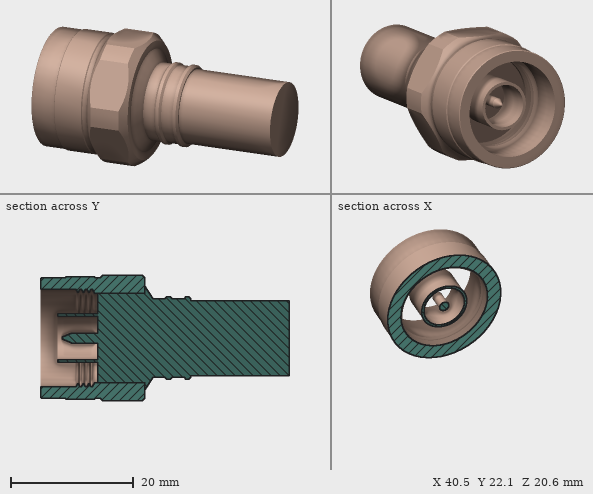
import cadquery as cq
import math

total_length = 40.55

sleeve_radius = 9.85
front_edge_chamfer = 0.12
band_radius = 10.0
band_start = 4.0
band_end = 8.95
band_chamfer = band_radius - sleeve_radius
hex_start = 9.75
hex_sides = 6
nut_end = 17.0
hex_across_flats = 20.55
hex_corner_radius = 11.03
hex_chamfer = hex_corner_radius - sleeve_radius

bore_radius = 7.95
thread_crest_radius = 7.3
thread_start = 5.7
thread_pitch = 0.9
thread_flank_width = 0.35
thread_count = 4
thread_end = thread_start + thread_count * thread_pitch

contact_sleeve_front = 2.75
contact_sleeve_radius = 4.0
contact_bore_radius = 3.53
shoulder_radius = 8.5
shoulder_end = 18.33
barrel_radius = 6.45
rib_radius = 6.77
rib_crest_width = 0.53
rib_flank_width = 0.35
front_rib_start = 20.25
rear_rib_start = 23.48
rear_rib_lead_width = 0.12
tail_radius = 6.15

pin_front = 3.45
pin_radius = 0.85
pin_tip_radius = 0.15
pin_cone_length = 1.62


def turn(profile):
    """Revolve a closed XZ profile, with Z as the radius, once around the X axis."""
    return profile.close().revolve(360, (0, 0, 0), (1, 0, 0))


def cylinder(start, end, radius):
    return cq.Workplane("YZ", origin=(start, 0, 0)).circle(radius).extrude(end - start)


def make_sleeve():
    return turn(
        cq.Workplane("XZ")
        .moveTo(0, 0)
        .lineTo(0, sleeve_radius - front_edge_chamfer)
        .lineTo(front_edge_chamfer, sleeve_radius)
        .lineTo(band_start, sleeve_radius)
        .lineTo(band_start + band_chamfer, band_radius)
        .lineTo(band_end - band_chamfer, band_radius)
        .lineTo(band_end, sleeve_radius)
        .lineTo(hex_start, sleeve_radius)
        .lineTo(hex_start, 0)
    )


def make_hexagon():
    """Hexagon with flats facing +Z and -Z, rounded at its corners and chamfered at both ends."""
    hex_length = nut_end - hex_start
    prism = (
        cq.Workplane("YZ", origin=(hex_start, 0, 0))
        .polygon(hex_sides, hex_across_flats / math.cos(math.pi / hex_sides))
        .extrude(hex_length)
    )
    turned_blank = cylinder(hex_start, nut_end, hex_corner_radius).edges().chamfer(hex_chamfer)
    return prism.intersect(turned_blank)


def make_threaded_bore():
    profile = cq.Workplane("XZ").moveTo(0, 0).lineTo(0, bore_radius).lineTo(thread_start, bore_radius)
    for ring in range(thread_count):
        root = thread_start + ring * thread_pitch
        profile = profile.lineTo(root + thread_flank_width, thread_crest_radius)
        if ring < thread_count - 1:
            profile = profile.lineTo(root + 2 * thread_flank_width, bore_radius)
            profile = profile.lineTo(root + thread_pitch, bore_radius)
    return turn(profile.lineTo(nut_end, thread_crest_radius).lineTo(nut_end, 0))


def make_coupling_nut():
    return make_sleeve().union(make_hexagon()).cut(make_threaded_bore())


def make_body_blank():
    """Body outline from the face behind the thread to the rear end."""
    front_crest = front_rib_start + rib_flank_width
    front_crest_end = front_crest + rib_crest_width
    rear_crest = rear_rib_start + rear_rib_lead_width
    rear_crest_end = rear_crest + rib_crest_width
    return turn(
        cq.Workplane("XZ")
        .moveTo(thread_end, 0)
        .lineTo(thread_end, thread_crest_radius)
        .lineTo(nut_end, thread_crest_radius)
        .lineTo(nut_end, shoulder_radius)
        .lineTo(shoulder_end, barrel_radius)
        .lineTo(front_rib_start, barrel_radius)
        .lineTo(front_crest, rib_radius)
        .lineTo(front_crest_end, rib_radius)
        .lineTo(front_crest_end + rib_flank_width, barrel_radius)
        .lineTo(rear_rib_start, barrel_radius)
        .lineTo(rear_crest, rib_radius)
        .lineTo(rear_crest_end, rib_radius)
        .lineTo(rear_crest_end + rib_flank_width, barrel_radius)
        .lineTo(rear_crest_end + rib_flank_width, tail_radius)
        .lineTo(total_length, tail_radius)
        .lineTo(total_length, 0)
    )


def make_contact_sleeve():
    outer = cylinder(contact_sleeve_front, thread_end, contact_sleeve_radius)
    return outer.cut(cylinder(contact_sleeve_front, thread_end, contact_bore_radius))


def make_centre_pin():
    return turn(
        cq.Workplane("XZ")
        .moveTo(pin_front, 0)
        .lineTo(pin_front, pin_tip_radius)
        .lineTo(pin_front + pin_cone_length, pin_radius)
        .lineTo(thread_end, pin_radius)
        .lineTo(thread_end, 0)
    )


def make_connector_body():
    return make_body_blank().union(make_contact_sleeve()).union(make_centre_pin())


coupling_nut = make_coupling_nut()
connector_body = make_connector_body()

result = cq.Compound.makeCompound([coupling_nut.val(), connector_body.val()])